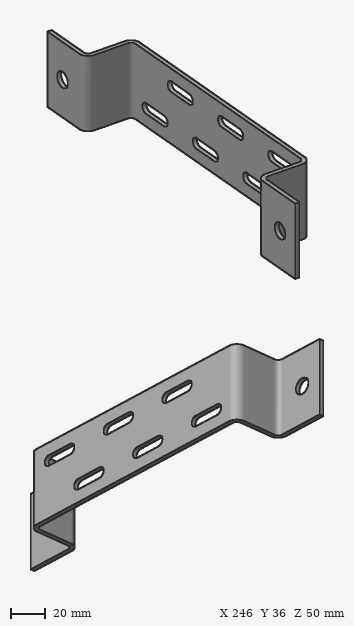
import cadquery as cq

overall_length = 246.0
overall_depth = 36.0
strip_width = 50.0
thickness = 3.0
inner_bend_radius = 3.0
outer_bend_radius = inner_bend_radius + thickness

bridge_length = 176.0

mounting_hole_diameter = 10.5
mounting_hole_end_distance = 15.0

slot_length = 25.0
slot_width = 7.0
slot_pitch = 50.0
slots_per_row = 3
row_height = 13.0
row_shift = slot_pitch / 4

half_length = overall_length / 2
half_bridge = bridge_length / 2
half_bridge_inside = half_bridge - thickness
front_y = -overall_depth / 2
back_y = overall_depth / 2


def make_strip():
    """Hat-shaped strip of constant thickness, with all four bends rounded."""
    flange_back_y = front_y + thickness
    bridge_front_y = back_y - thickness
    outline = [
        (-half_length, front_y),
        (-half_bridge_inside, front_y),
        (-half_bridge_inside, bridge_front_y),
        (half_bridge_inside, bridge_front_y),
        (half_bridge_inside, front_y),
        (half_length, front_y),
        (half_length, flange_back_y),
        (half_bridge, flange_back_y),
        (half_bridge, back_y),
        (-half_bridge, back_y),
        (-half_bridge, flange_back_y),
        (-half_length, flange_back_y),
    ]
    strip = cq.Workplane("XY").polyline(outline).close().extrude(strip_width / 2, both=True)

    outer_corners = []
    inner_corners = []
    for side in (-1, 1):
        outer_corners.append((side * half_bridge_inside, front_y))
        outer_corners.append((side * half_bridge, back_y))
        inner_corners.append((side * half_bridge, flange_back_y))
        inner_corners.append((side * half_bridge_inside, bridge_front_y))
    strip = round_corners(strip, inner_corners, inner_bend_radius)
    return round_corners(strip, outer_corners, outer_bend_radius)


def round_corners(body, corners, radius):
    """Fillet the upright edges standing at the given XY corners."""
    for x, y in corners:
        edge = body.edges(cq.selectors.NearestToPointSelector((x, y, 0)))
        body = body.newObject(edge.vals()).fillet(radius)
    return body


def make_mounting_holes():
    """Cylinders through both end flanges, along Y."""
    hole_x = half_length - mounting_hole_end_distance
    return (
        cq.Workplane("XZ")
        .pushPoints([(-hole_x, 0), (hole_x, 0)])
        .circle(mounting_hole_diameter / 2)
        .extrude(overall_depth, both=True)
    )


def make_slots():
    """Round-ended cutters: the upper row is shifted to +X, the lower row to -X."""
    centres = []
    for side in (-1, 1):
        for index in range(slots_per_row):
            offset = (index - (slots_per_row - 1) / 2) * slot_pitch
            centres.append((offset + side * row_shift, side * row_height))
    return (
        cq.Workplane("XZ")
        .pushPoints(centres)
        .slot2D(slot_length, slot_width)
        .extrude(overall_depth, both=True)
    )


result = make_strip().cut(make_mounting_holes()).cut(make_slots())